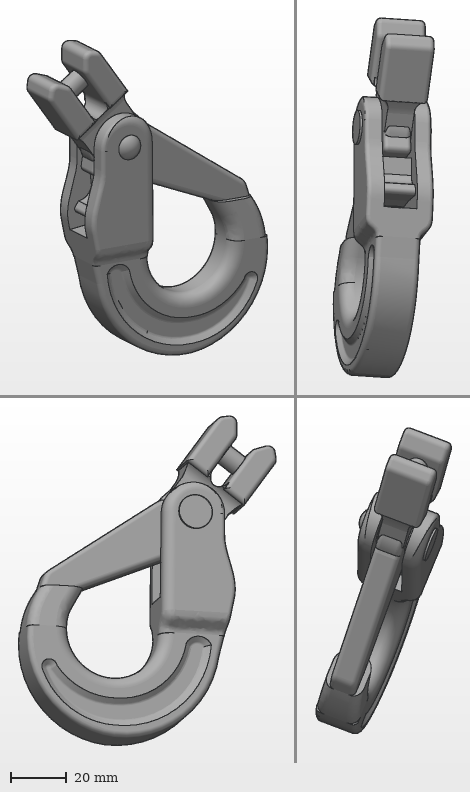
import cadquery as cq
import math

SIDE = cq.Plane(origin=(0, 0, 0), xDir=(0, -1, 0), normal=(-1, 0, 0))

EYE_R = 17.0
HOOK_HALF = 8.1
BORE_ROUND = 4.7
RIM_ROUND = 1.9
BOW_BACK = (-31.9, 0)
BOW_BACK_MID = (-22.2, -28.8)
BOW_BOTTOM = (0, -39.3)
BOW_FRONT_MID = (26.1, -30.4)
BOW_FRONT_LOW = (38.8, -7.2)
BOW_FRONT = (40.6, 0)
TIP_TOP = 15.3
TIP_TOP_HALF = 7.1
TIP_LEAN = math.radians(30)
TIP_OUTER_MID = (-30.1, 8.2)
TIP_OUTER_TOP = (-26.4, TIP_TOP)
TIP_ROUND = 3.6
GROOVE_DEPTH = 1.7
GROOVE_TAPER = 52
GROOVE_FLOOR_ROUND = 1.2

PIVOT = (28.5, 44.0)
CHEEK_HALF = 12.2
CHEEK_TOP_R = 11.2
CHEEK_BACK = 17.5
CHEEK_SPLIT = PIVOT[0] + 1.2
CHEEK_BACK_ROUND = 4.0
CHEEK_FRONT_ROUND = 1.5
STEP_TOP = 7.5
STEP_MID = (10.4, 3.4)
NECK_LOW = 36.5
SWELL = (41.2, 28.3)
BELLY = (43.6, 18.1)
BELLY_LOW = (43.3, 13.0)
SLOT_HALF = 6.0
SLOT_FLOOR_BACK = 13.4
SLOT_FLOOR_FRONT = 10.5
REACH = 72.3

PIN_HEAD_R = 6.1
PIN_HEAD_X = -13.0
DOME_R = 4.6
DOME_X = 14.5

LEVER_HALF = 4.9
LEVER_ROUND = 1.9
TOE_ROUND = 1.5
HUB_R = 11.8
NOSE = (-24.6, 20.7)
NOSE_ROUND = 4.8
ARM_TOP = (17.0, 49.2)
ARM_BELOW_HUB = (26.1, 30.8)
ARM_HEEL = (-11.5, TIP_TOP)
TOE_TOP = 41.7
TOE_LOW = 32.4
TOE_FRONT = 38.8
TOE_ROOT = 28.9

JAW_ANGLE = 54.4
JAW_HALF = 8.9
JAW_ROUND = 1.7
PRONG_INNER = 3.6
PRONG_OUTER = 13.0
PRONG_START = 14.9
PRONG_SHOULDER = 35.5
PRONG_PEAK = (8.4, 40.2)
PRONG_LIP = 33.6
PRONG_TIP_ROUND = 2.7
NECK_HALF = 10.7
NECK_FLARE_START = 11.3
NECK_FLARE_HALF = 8.0
JAW_PIN_AT = 28.1
JAW_PIN_R = 3.9


def side():
    return cq.Workplane(SIDE)


def plate(outline, half):
    """Extrude a closed outline symmetrically about its plane."""
    return outline.extrude(half, both=True)


def pick_edges(solid, test):
    """Edges lying off the middle plane whose midpoint (forward, up) passes the test."""
    edges = []
    for edge in solid.edges().vals():
        middle = edge.positionAt(0.5)
        if abs(middle.x) > HOOK_HALF / 2 and test(-middle.y, middle.z):
            edges.append(edge)
    return solid.newObject(edges)


def close_to(place, tolerance):
    """Test for a point within the tolerance of a side point."""
    return lambda u, w: math.hypot(u - place[0], w - place[1]) < tolerance


def hook_bow():
    """Half-round bow below the eye centre."""
    outline = (
        side()
        .moveTo(-EYE_R, 0)
        .threePointArc((0, -EYE_R), (EYE_R, 0))
        .lineTo(*BOW_FRONT)
        .lineTo(*BOW_FRONT_LOW)
        .threePointArc(BOW_FRONT_MID, BOW_BOTTOM)
        .threePointArc(BOW_BACK_MID, BOW_BACK)
        .close()
    )
    bow = plate(outline, HOOK_HALF)
    bow = pick_edges(bow, close_to((0, -EYE_R), 1.2)).fillet(BORE_ROUND)
    rim = pick_edges(bow, lambda u, w: math.hypot(u, w) > -BOW_BACK[0] - 0.6 and w < 0)
    return rim.fillet(RIM_ROUND)


def hook_tip():
    """Tip above the eye centre, thinning towards its flat top."""
    lean_start = (-EYE_R * math.cos(TIP_LEAN), EYE_R * math.sin(TIP_LEAN))
    arc_mid = (-EYE_R * math.cos(TIP_LEAN / 2), EYE_R * math.sin(TIP_LEAN / 2))
    inner_top = lean_start[0] + (TIP_TOP - lean_start[1]) * math.tan(TIP_LEAN)
    outline = (
        side()
        .moveTo(-EYE_R, 0)
        .threePointArc(arc_mid, lean_start)
        .lineTo(inner_top, TIP_TOP)
        .lineTo(*TIP_OUTER_TOP)
        .threePointArc(TIP_OUTER_MID, BOW_BACK)
        .close()
    )
    thinning = plate(
        cq.Workplane("XZ").polyline([
            (-HOOK_HALF, 0), (HOOK_HALF, 0), (TIP_TOP_HALF, TIP_TOP), (-TIP_TOP_HALF, TIP_TOP)
        ]).close(),
        REACH)
    tip = plate(outline, CHEEK_HALF).intersect(thinning)
    tip = pick_edges(tip, close_to(arc_mid, 1.8)).fillet(BORE_ROUND)
    return pick_edges(tip, close_to(TIP_OUTER_MID, 2.4)).fillet(TIP_ROUND)


def cheek_section():
    """Full cheek width above, with an S-shaped step down to the hook thickness."""
    section = (
        cq.Workplane("XZ")
        .moveTo(-HOOK_HALF, 0)
        .spline([(-STEP_MID[0], STEP_MID[1]), (-CHEEK_HALF, STEP_TOP)],
                tangents=[(0, 1), (0, 1)], includeCurrent=True)
        .lineTo(-CHEEK_HALF, REACH)
        .lineTo(CHEEK_HALF, REACH)
        .lineTo(CHEEK_HALF, STEP_TOP)
        .spline([STEP_MID, (HOOK_HALF, 0)],
                tangents=[(0, -1), (0, -1)], includeCurrent=True)
        .close()
    )
    return section.extrude(REACH)


def back_form(half):
    """Straight back edge under a round top, left open towards the front."""
    pivot_w = PIVOT[1]
    top_r = CHEEK_SPLIT - CHEEK_BACK
    outline = (
        side()
        .moveTo(EYE_R, 0)
        .lineTo(CHEEK_BACK, pivot_w)
        .threePointArc((CHEEK_BACK + top_r, pivot_w + top_r), (CHEEK_BACK + 2 * top_r, pivot_w))
        .lineTo(REACH, pivot_w)
        .lineTo(REACH, 0)
        .close()
    )
    return plate(outline, half)


def round_back(form):
    """Round the back and top edges of a cheek form."""
    pivot_w = PIVOT[1]
    rim = pick_edges(form, lambda u, w: u < CHEEK_BACK + 0.2 or w > pivot_w + 1.2)
    return rim.fillet(CHEEK_BACK_ROUND)


def front_form():
    """Round top, slender neck and the belly swelling above the bow."""
    pivot_u, pivot_w = PIVOT
    back = EYE_R - 1.2
    outline = (
        side()
        .moveTo(back, 0)
        .lineTo(back, pivot_w)
        .lineTo(pivot_u - CHEEK_TOP_R, pivot_w)
        .threePointArc((pivot_u, pivot_w + CHEEK_TOP_R), (pivot_u + CHEEK_TOP_R, pivot_w))
        .lineTo(pivot_u + CHEEK_TOP_R, NECK_LOW)
        .spline([SWELL, BELLY, BELLY_LOW], tangents=[(0, -1), (-0.25, -1)], includeCurrent=True)
        .lineTo(*BOW_FRONT)
        .close()
    )
    return plate(outline, CHEEK_HALF + 1.2)


def shank():
    """Shank in a back part and a front part, which carry different edge rounds."""
    back_zone = plate(side().rect(2 * CHEEK_SPLIT, 4 * REACH), REACH)
    stepped_back = back_form(CHEEK_HALF + 1.2).intersect(cheek_section())
    back = round_back(stepped_back).intersect(front_form()).intersect(back_zone)

    stepped_front = front_form().intersect(cheek_section())
    front = pick_edges(stepped_front, lambda u, w: u > BOW_FRONT_LOW[0] - 2.4)
    front = front.fillet(CHEEK_FRONT_ROUND).cut(back_zone)
    front = front.intersect(round_back(back_form(CHEEK_HALF)))

    slot = side().polyline([
        (0, SLOT_FLOOR_BACK), (EYE_R, SLOT_FLOOR_BACK), (BELLY_LOW[0], SLOT_FLOOR_FRONT),
        (REACH, SLOT_FLOOR_FRONT), (REACH, REACH), (0, REACH)
    ]).close()
    return back.union(front).cut(plate(slot, SLOT_HALF))


def grooves():
    """Crescent grooves with sloping walls for both faces of the bow."""
    groove = (
        side()
        .moveTo(26.3, -3.6)
        .threePointArc((16.9, -19.5), (0, -25.2))
        .threePointArc((-12, -22.5), (-21.6, -14.5))
        .threePointArc((-25.0, -12.3), (-27.0, -16.0))
        .threePointArc((-16.3, -30.0), (0, -35.2))
        .threePointArc((21.9, -28.4), (35.5, -3.6))
        .threePointArc((30.8, -0.7), (26.3, -3.6))
        .close()
        .extrude(GROOVE_DEPTH, taper=GROOVE_TAPER)
        .faces("<X").edges().fillet(GROOVE_FLOOR_ROUND)
    )
    far = groove.mirror("YZ").translate((-HOOK_HALF, 0, 0))
    return far.union(far.mirror("YZ"))


def lever():
    """Latch arm, round hub and the short toe at the front of the hub."""
    pivot_u, pivot_w = PIVOT
    arm = plate(
        side().polyline([
            TIP_OUTER_TOP, NOSE, ARM_TOP, (pivot_u - 4.8, pivot_w + 8.4), ARM_BELOW_HUB, ARM_HEEL
        ]).close(),
        LEVER_HALF)
    nose = arm.edges(cq.selectors.NearestToPointSelector((0, -NOSE[0], NOSE[1])))
    arm = nose.fillet(NOSE_ROUND)
    rim = [e for e in arm.faces("<X or >X").edges().vals()
           if e.positionAt(0.5).z > TIP_TOP + 0.1]
    arm = arm.newObject(rim).fillet(LEVER_ROUND)

    hub = plate(side().center(*PIVOT).circle(HUB_R), LEVER_HALF)
    hub = hub.faces("<X or >X").edges().fillet(LEVER_ROUND)

    toe = plate(
        side()
        .moveTo(TOE_ROOT, TOE_TOP)
        .lineTo(TOE_FRONT, TOE_TOP)
        .lineTo(TOE_FRONT, 37.7)
        .lineTo(39.3, 34.5)
        .threePointArc((38.9, 33.1), (37.3, TOE_LOW))
        .lineTo(TOE_ROOT, TOE_LOW)
        .close(),
        LEVER_HALF)
    toe = toe.faces("<X or >X").edges().fillet(TOE_ROUND)
    return arm.union(hub).union(toe)


def jaw_neck():
    """Web from the hub to the prongs, flaring out to their width."""
    root = PRONG_OUTER - 0.4
    shoulder = PRONG_START + 0.6
    throat = PRONG_START + PRONG_INNER - 0.6
    web = plate(
        side()
        .moveTo(-NECK_HALF, 2.4)
        .lineTo(NECK_HALF, 2.4)
        .lineTo(NECK_HALF, 9.6)
        .threePointArc((11.3, 12.7), (root, shoulder))
        .lineTo(root, throat)
        .lineTo(PRONG_INNER, throat)
        .threePointArc((0, throat - PRONG_INNER), (-PRONG_INNER, throat))
        .lineTo(-root, throat)
        .lineTo(-root, shoulder)
        .threePointArc((-11.3, 12.7), (-NECK_HALF, 9.6))
        .close(),
        JAW_HALF)
    flare_mid = (LEVER_HALF + 0.8, NECK_FLARE_START + 2.4)
    flare_top = (NECK_FLARE_HALF, PRONG_START + 0.4)
    flare = plate(
        cq.Workplane("XZ")
        .moveTo(-LEVER_HALF, 0)
        .lineTo(LEVER_HALF, 0)
        .lineTo(LEVER_HALF, NECK_FLARE_START)
        .threePointArc(flare_mid, flare_top)
        .lineTo(NECK_FLARE_HALF, throat)
        .lineTo(-NECK_FLARE_HALF, throat)
        .lineTo(-NECK_FLARE_HALF, flare_top[1])
        .threePointArc((-flare_mid[0], flare_mid[1]), (-LEVER_HALF, NECK_FLARE_START))
        .close(),
        REACH)
    return web.intersect(flare)


def jaw():
    """Two prongs with a cross pin, built upright and tilted onto the pivot."""
    prong = plate(
        side().polyline([
            (PRONG_INNER, PRONG_START), (PRONG_OUTER, PRONG_START),
            (PRONG_OUTER, PRONG_SHOULDER), PRONG_PEAK, (PRONG_INNER, PRONG_LIP)
        ]).close(),
        JAW_HALF)
    prong = prong.edges("|X").edges("not <Z").fillet(PRONG_TIP_ROUND)
    prong = prong.faces("<X or >X").edges().fillet(JAW_ROUND)
    pin = plate(cq.Workplane("XZ").center(0, JAW_PIN_AT).circle(JAW_PIN_R), PRONG_INNER + 2.4)
    upright = prong.union(prong.mirror("XZ")).union(jaw_neck()).union(pin)
    tilted = upright.rotate((0, 0, 0), (1, 0, 0), 90 - JAW_ANGLE)
    return tilted.translate((0, -PIVOT[0], PIVOT[1]))


def trigger():
    """Release trigger filling the fork slot, with a thumb ledge at the front."""
    outline = (
        side()
        .moveTo(21.7, 17.5)
        .lineTo(21.7, 31.9)
        .lineTo(34.5, 31.9)
        .lineTo(33.7, 25.7)
        .threePointArc((35.4, 22.4), (39.2, 20.7))
        .lineTo(40.5, 18.8)
        .threePointArc((40.6, 17.3), (39.3, 16.5))
        .lineTo(28.9, 17.5)
        .close()
    )
    return plate(outline, SLOT_HALF)


def rivet():
    """Pin with a flat head on one side and a domed end on the other."""
    pin = (
        cq.Workplane("YZ", origin=(PIN_HEAD_X, -PIVOT[0], PIVOT[1]))
        .circle(PIN_HEAD_R)
        .extrude(CHEEK_HALF - PIN_HEAD_X - 1.2)
    )
    rise = DOME_X - CHEEK_HALF
    ball_r = (DOME_R ** 2 + rise ** 2) / (2 * rise)
    half_angle = math.asin(DOME_R / ball_r) / 2
    dome_mid = (DOME_X - ball_r * (1 - math.cos(half_angle)), ball_r * math.sin(half_angle))
    dome = (
        cq.Workplane("XY", origin=(0, -PIVOT[0], PIVOT[1]))
        .moveTo(CHEEK_HALF - 1.2, 0)
        .lineTo(CHEEK_HALF - 1.2, DOME_R)
        .lineTo(CHEEK_HALF, DOME_R)
        .threePointArc(dome_mid, (DOME_X, 0))
        .close()
        .revolve(360, (0, 0, 0), (1, 0, 0))
    )
    return pin.union(dome)


hook = hook_bow().union(hook_tip()).union(shank()).cut(grooves())
result = hook.union(lever()).union(jaw()).union(trigger()).union(rivet())